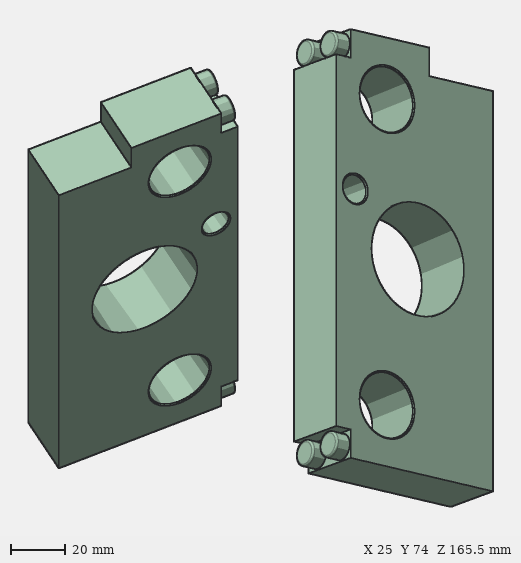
import cadquery as cq

thickness = 25.0
width = 74.0
height = 165.5
back_y = width / 2
front_y = -width / 2
top_z = height / 2

step_height = 11.0
front_step_width = 30.0
back_notch_width = 6.8

pin_diameter = 10.0
pin_length = 6.3
pin_edge_fillet = 0.8
pin_offset_x = 7.0
pin_offset_z = top_z - step_height / 2

bore_diameter = 43.5
bore_y = -1.5
guide_diameter = 25.0
guide_chamfer = 0.5
guide_y = 13.0
guide_spacing = 118.0
small_diameter = 10.92
small_chamfer = 0.54
small_y = 28.0
small_z = 21.5


def make_block():
    """Plate with a step at the upper front edge and a notch at both back corners."""
    shoulder_z = top_z - step_height
    notch_y = back_y - back_notch_width
    outline = [
        (front_y, -top_z),
        (notch_y, -top_z),
        (notch_y, -shoulder_z),
        (back_y, -shoulder_z),
        (back_y, shoulder_z),
        (notch_y, shoulder_z),
        (notch_y, top_z),
        (front_y + front_step_width, top_z),
        (front_y + front_step_width, shoulder_z),
        (front_y, shoulder_z),
    ]
    return cq.Workplane("YZ").polyline(outline).close().extrude(thickness / 2, both=True)


def make_hole(diameter, y, z, chamfer=0.0):
    """Cutter for a hole along X, with an optional 45 degree chamfer at both mouths."""
    radius = diameter / 2
    half = thickness / 2
    mouth = radius + chamfer
    profile = [(-half, 0), (-half, mouth)]
    if chamfer > 0:
        profile += [(chamfer - half, radius), (half - chamfer, radius)]
    profile += [(half, mouth), (half, 0)]
    cutter = cq.Workplane("XY").polyline(profile).close().revolve(360, (0, 0), (1, 0))
    return cutter.translate((0, y, z))


def make_pin(x, z):
    """Pin along +Y from the notch floor, with a rounded free end."""
    pin = cq.Workplane("XZ").circle(pin_diameter / 2).extrude(-pin_length)
    pin = pin.faces(">Y").edges().fillet(pin_edge_fillet)
    return pin.translate((x, back_y - back_notch_width, z))


result = make_block()
result = result.cut(make_hole(bore_diameter, bore_y, 0))
for guide_z in (-guide_spacing / 2, guide_spacing / 2):
    result = result.cut(make_hole(guide_diameter, guide_y, guide_z, guide_chamfer))
result = result.cut(make_hole(small_diameter, small_y, small_z, small_chamfer))
for pin_x in (-pin_offset_x, pin_offset_x):
    for pin_z in (-pin_offset_z, pin_offset_z):
        result = result.union(make_pin(pin_x, pin_z))